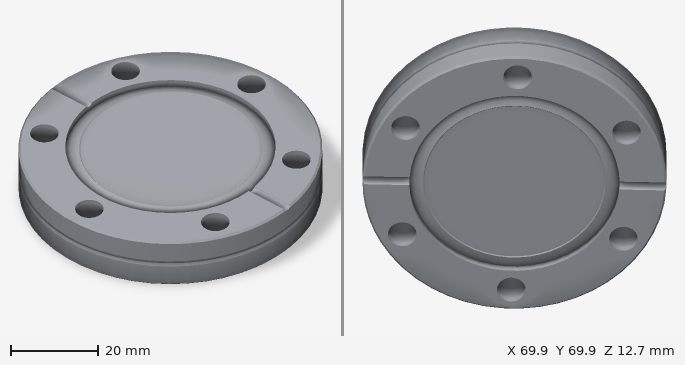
import cadquery as cq
import math

outer_diameter = 69.9
thickness = 12.7
edge_chamfer = 0.5
outer_radius = outer_diameter / 2
half_thickness = thickness / 2

rim_groove_width = 1.55
rim_groove_depth = 0.3

recess_radius = 24.2
knife_radius = 21.0
knife_depth = 0.7
knife_slope = 20.0
knife_inner_width = 0.2
floor_depth = 0.9

bolt_count = 6
bolt_hole_diameter = 6.6
bolt_circle_radius = 29.35

leak_groove_width = 2.2
leak_groove_depth = 0.6
leak_groove_angles = (30.0, 210.0)


def flange_body():
    """Solid of revolution: chamfered disc, rim groove and both sealing recesses."""
    recess_depth = knife_depth + (recess_radius - knife_radius) * math.tan(math.radians(knife_slope))
    upper_points = [
        (outer_radius - rim_groove_depth, 0),
        (outer_radius, rim_groove_width / 2),
        (outer_radius, half_thickness - edge_chamfer),
        (outer_radius - edge_chamfer, half_thickness),
        (recess_radius, half_thickness),
        (recess_radius, half_thickness - recess_depth),
        (knife_radius, half_thickness - knife_depth),
        (knife_radius - knife_inner_width, half_thickness - floor_depth),
        (0, half_thickness - floor_depth),
    ]
    lower_points = [(r, -z) for r, z in reversed(upper_points[1:])]
    return cq.Workplane("XZ").polyline(upper_points + lower_points).close().revolve(
        360, (0, 0, 0), (0, 1, 0)
    )


def bolt_holes():
    return (
        cq.Workplane("XY")
        .polarArray(bolt_circle_radius, 0, 360, bolt_count)
        .circle(bolt_hole_diameter / 2)
        .extrude(half_thickness, both=True)
    )


def leak_groove(angle, face_z):
    """Radial cylinder whose axis is offset outside the face to give the groove width and depth."""
    radius = ((leak_groove_width / 2) ** 2 + leak_groove_depth**2) / (2 * leak_groove_depth)
    axis_z = face_z + math.copysign(radius - leak_groove_depth, face_z)
    start = (recess_radius + knife_radius) / 2
    return (
        cq.Workplane("YZ", origin=(start, 0, axis_z))
        .circle(radius)
        .extrude(outer_radius)
        .rotate((0, 0, 0), (0, 0, 1), angle)
    )


result = flange_body().cut(bolt_holes())
for groove_angle in leak_groove_angles:
    for groove_face in (half_thickness, -half_thickness):
        result = result.cut(leak_groove(groove_angle, groove_face))